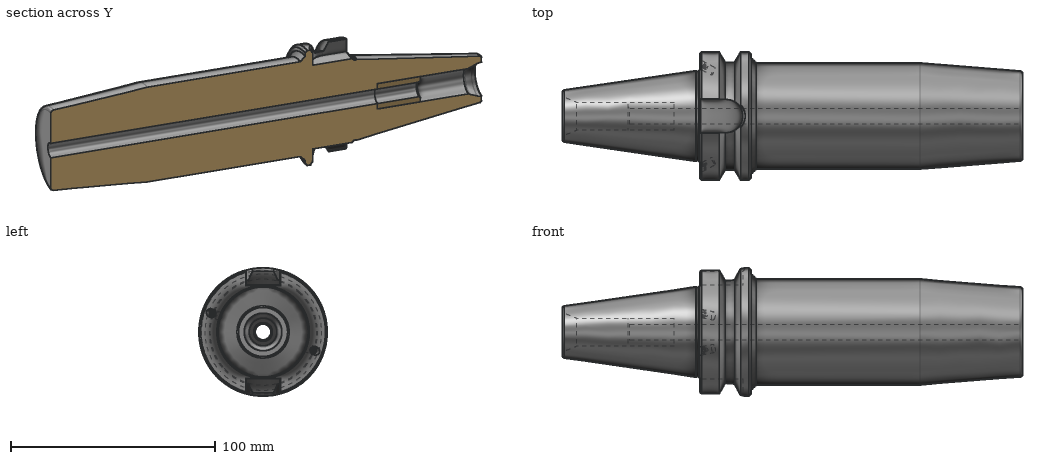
import cadquery as cq


TAPER_LENGTH = 65.4
TAPER_RATIO = 7 / 24
GAUGE_DIAMETER = 44.5
SHANK_TIP_CHAMFER_DEPTH = 0.7
SHANK_TIP_CHAMFER_LENGTH = 1.0
NECK_DIAMETER = 44.0
NECK_STEP_LENGTH = 0.2
NECK_ROOT_CHAMFER = 0.7

FLANGE_DIAMETER = 63.0
FLANGE_START = 2.0
FLANGE_END = 27.0
FLANGE_CHAMFER = 1.0
GROOVE_DIAMETER = 53.0
GROOVE_CENTER = 16.7
GROOVE_FLOOR_WIDTH = 4.7
GROOVE_FLANK_RUN = 3.0
FLANGE_REAR_CHAMFER = 1.1

SLOT_ANGLES = (0, 180)
SLOT_WIDTH = 16.2
SLOT_FLOOR_HEIGHT = 23.0
SLOT_END = 23.0
SLOT_CHAMFER = 0.5
SLOT_CHAMFER_BASE = 29.8
SLOT_CHAMFER_ANGLE = 35

TOTAL_LENGTH = 225.5
BODY_DIAMETER = 52.0
SHOULDER_CONE_END = 29.5
SHOULDER_CONE_DIAMETER = 57.0
NOSE_START = 109.5
NOSE_DIAMETER = 44.0
NOSE_ROUNDING = 1.5

MOUTH_DIAMETER = 18.5
MOUTH_CHAMFER_LENGTH = 2.3
CENTER_CONE_DIAMETER = 17.5
CENTER_CONE_END_DIAMETER = 14.5
CENTER_CONE_END_DEPTH = 6.0
BORE_DIAMETER = 13.5
BORE_START_DEPTH = 7.0

BUSHING_DEPTH = 32.0
BUSHING_LENGTH = 22.5
BUSHING_HOLE_DIAMETER = 7.7
BUSHING_CHAMFER = 0.8

SCREW_ANGLES = (20, 200)
SCREW_CIRCLE_RADIUS = 27.0
SCREW_TILT = 30
SCREW_DIAMETER = 4.0
SCREW_TIP_DIAMETER = 3.4
SCREW_RECESS = 1.8
SCREW_LENGTH = 5.6
SOCKET_ACROSS_CORNERS = 2.0
SOCKET_DEPTH = 2.0

SHANK_TIP = -TAPER_LENGTH
NOSE_END = SHANK_TIP + TOTAL_LENGTH


def revolved(points):
    """Turn a closed outline of (x, radius) points about the X axis."""
    return cq.Workplane("XY").polyline(points).close().revolve(360, (0, 0), (1, 0))


def cylinder_along_x(start, length, diameter):
    return cq.Workplane("YZ").workplane(offset=start).circle(diameter / 2).extrude(length)


def turned_blank():
    tip_diameter = GAUGE_DIAMETER - TAPER_LENGTH * TAPER_RATIO
    chamfer_end_diameter = tip_diameter + SHANK_TIP_CHAMFER_LENGTH * TAPER_RATIO
    flange_radius = FLANGE_DIAMETER / 2
    groove_radius = GROOVE_DIAMETER / 2
    floor_start = GROOVE_CENTER - GROOVE_FLOOR_WIDTH / 2
    floor_end = GROOVE_CENTER + GROOVE_FLOOR_WIDTH / 2
    blank = revolved([
        (SHANK_TIP, 0),
        (SHANK_TIP, tip_diameter / 2 - SHANK_TIP_CHAMFER_DEPTH),
        (SHANK_TIP + SHANK_TIP_CHAMFER_LENGTH, chamfer_end_diameter / 2),
        (0, GAUGE_DIAMETER / 2),
        (NECK_STEP_LENGTH, NECK_DIAMETER / 2),
        (FLANGE_START - NECK_ROOT_CHAMFER, NECK_DIAMETER / 2),
        (FLANGE_START, NECK_DIAMETER / 2 + NECK_ROOT_CHAMFER),
        (FLANGE_START, flange_radius - FLANGE_CHAMFER),
        (FLANGE_START + FLANGE_CHAMFER, flange_radius),
        (floor_start - GROOVE_FLANK_RUN, flange_radius),
        (floor_start, groove_radius),
        (floor_end, groove_radius),
        (floor_end + GROOVE_FLANK_RUN, flange_radius),
        (FLANGE_END - FLANGE_REAR_CHAMFER, flange_radius),
        (FLANGE_END, flange_radius - FLANGE_REAR_CHAMFER),
        (FLANGE_END, SHOULDER_CONE_DIAMETER / 2),
        (SHOULDER_CONE_END, BODY_DIAMETER / 2),
        (NOSE_START, BODY_DIAMETER / 2),
        (NOSE_END, NOSE_DIAMETER / 2),
        (NOSE_END, 0),
    ])
    return blank.faces(">X").edges().fillet(NOSE_ROUNDING)


def slot_outline(height):
    """Plan outline of a round-ended slot, open past the front of the flange."""
    straight_end = SLOT_END - SLOT_WIDTH / 2
    return (
        cq.Workplane("XY")
        .workplane(offset=height)
        .moveTo(0, -SLOT_WIDTH / 2)
        .lineTo(straight_end, -SLOT_WIDTH / 2)
        .threePointArc((SLOT_END, 0), (straight_end, SLOT_WIDTH / 2))
        .lineTo(0, SLOT_WIDTH / 2)
        .close()
    )


def drive_slot():
    """Cutter for the top slot, with its chamfered outer and front edges."""
    top = FLANGE_DIAMETER / 2
    slot = slot_outline(SLOT_FLOOR_HEIGHT).extrude(top - SLOT_FLOOR_HEIGHT)
    chamfer_height = top - SLOT_CHAMFER_BASE
    outer_chamfer = slot_outline(SLOT_CHAMFER_BASE).extrude(chamfer_height, taper=-SLOT_CHAMFER_ANGLE)
    section_height = 2 * (top - SLOT_FLOOR_HEIGHT)
    front_chamfer = (
        cq.Workplane("YZ")
        .workplane(offset=FLANGE_START)
        .center(0, top)
        .rect(SLOT_WIDTH + 2 * SLOT_CHAMFER, section_height + 2 * SLOT_CHAMFER)
        .workplane(offset=SLOT_CHAMFER)
        .rect(SLOT_WIDTH, section_height)
        .loft(ruled=True)
    )
    return slot.union(outer_chamfer).union(front_chamfer)


def bore():
    bushing_end = SHANK_TIP + BUSHING_DEPTH + BUSHING_LENGTH
    return revolved([
        (SHANK_TIP, 0),
        (SHANK_TIP, MOUTH_DIAMETER / 2),
        (SHANK_TIP + MOUTH_CHAMFER_LENGTH, CENTER_CONE_DIAMETER / 2),
        (SHANK_TIP + CENTER_CONE_END_DEPTH, CENTER_CONE_END_DIAMETER / 2),
        (SHANK_TIP + BORE_START_DEPTH, BORE_DIAMETER / 2),
        (bushing_end, BORE_DIAMETER / 2),
        (bushing_end, BUSHING_HOLE_DIAMETER / 2),
        (NOSE_END, BUSHING_HOLE_DIAMETER / 2),
        (NOSE_END, 0),
    ])


def at_screw_place(shape, angle):
    """Move a shape built along X from the origin into a screw hole, with the origin at its mouth."""
    return (
        shape.rotate((0, 0, 0), (0, 0, 1), -SCREW_TILT)
        .translate((FLANGE_START, SCREW_CIRCLE_RADIUS, 0))
        .rotate((0, 0, 0), (1, 0, 0), angle)
    )


def screw_hole():
    overcut = SCREW_DIAMETER
    return cylinder_along_x(-overcut, overcut + SCREW_RECESS + SCREW_LENGTH, SCREW_DIAMETER)


def make_holder():
    holder = turned_blank().cut(bore())
    for angle in SLOT_ANGLES:
        holder = holder.cut(drive_slot().rotate((0, 0, 0), (1, 0, 0), angle))
    for angle in SCREW_ANGLES:
        holder = holder.cut(at_screw_place(screw_hole(), angle))
    return holder


def make_bushing():
    blank = cylinder_along_x(SHANK_TIP + BUSHING_DEPTH, BUSHING_LENGTH, BORE_DIAMETER)
    hole = cylinder_along_x(SHANK_TIP + BUSHING_DEPTH, BUSHING_LENGTH, BUSHING_HOLE_DIAMETER)
    hole_edge = cq.selectors.RadiusNthSelector(0)
    return blank.cut(hole).faces("<X").edges(hole_edge).chamfer(BUSHING_CHAMFER)


def make_set_screw(angle):
    chamfer = (SCREW_DIAMETER - SCREW_TIP_DIAMETER) / 2
    body = cylinder_along_x(SCREW_RECESS, SCREW_LENGTH, SCREW_DIAMETER).faces("<X").edges().chamfer(chamfer)
    socket = (
        cq.Workplane("YZ")
        .workplane(offset=SCREW_RECESS)
        .polygon(6, SOCKET_ACROSS_CORNERS)
        .extrude(SOCKET_DEPTH)
    )
    return at_screw_place(body.cut(socket), angle)


holder = make_holder()
bushing = make_bushing()
set_screws = [make_set_screw(angle) for angle in SCREW_ANGLES]

result = cq.Compound.makeCompound([
    holder.val(),
    bushing.val(),
    *[screw.val() for screw in set_screws],
])